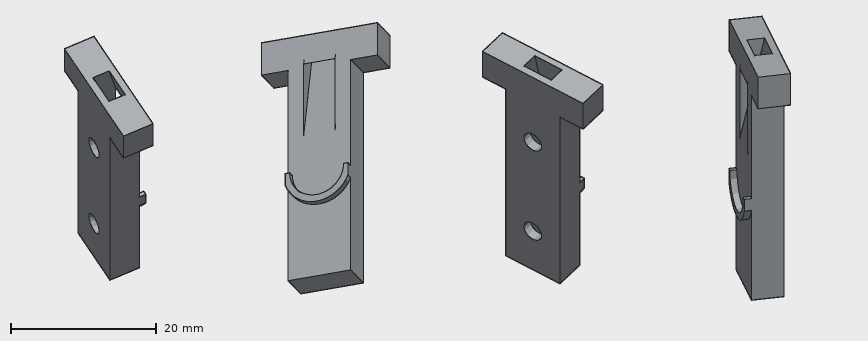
import cadquery as cq
import math

total_height = 36.7
head_width = 17.2
head_height = 4.9
shaft_width = 9.3
thickness = 4.6

slot_width = 4.65
slot_opening = 2.5
slot_front_wall = 1.1
slot_tilt = 13.0

hole_diameter = 3.0
hole_depth = 1.5
lower_hole_height = 7.35
hole_spacing = 17.0
hole_count = 2

rib_outer_radius = 5.0
rib_inner_radius = 4.0
rib_projection = 1.0
rib_center_height = 15.8


def make_body():
    """T-shaped plate: a narrow shaft with a wider head on top."""
    shaft = cq.Workplane("XY").box(shaft_width, thickness, total_height, centered=(True, False, False))
    head = (
        cq.Workplane("XY")
        .box(head_width, thickness, head_height, centered=(True, False, False))
        .translate((0, 0, total_height - head_height))
    )
    return shaft.union(head)


def make_rib():
    """Lower half of a ring standing on the back face, its sides flush with the shaft."""
    ring = (
        cq.Workplane("XZ", origin=(0, thickness, rib_center_height))
        .circle(rib_outer_radius)
        .circle(rib_inner_radius)
        .extrude(-rib_projection)
    )
    lower_half = (
        cq.Workplane("XY")
        .box(shaft_width, rib_projection, rib_outer_radius, centered=(True, False, False))
        .translate((0, thickness, rib_center_height - rib_outer_radius))
    )
    return ring.intersect(lower_half)


def make_slot():
    """Sloping slot, its upper end on the top face and its front wall ending at the back face."""
    slope_run = thickness - slot_front_wall
    drop = slope_run / math.tan(math.radians(slot_tilt))
    slot_back = slot_front_wall + slot_opening
    bottom = total_height - drop
    return (
        cq.Workplane("YZ")
        .moveTo(slot_front_wall, total_height)
        .lineTo(slot_back, total_height)
        .lineTo(slot_back + slope_run, bottom)
        .lineTo(slot_front_wall + slope_run, bottom)
        .close()
        .extrude(slot_width / 2, both=True)
    )


def make_holes():
    """Blind holes in the front face, one above the other."""
    hole_heights = [lower_hole_height + i * hole_spacing for i in range(hole_count)]
    return (
        cq.Workplane("XZ")
        .pushPoints([(0, height) for height in hole_heights])
        .circle(hole_diameter / 2)
        .extrude(-hole_depth)
    )


result = make_body().union(make_rib()).cut(make_slot()).cut(make_holes())